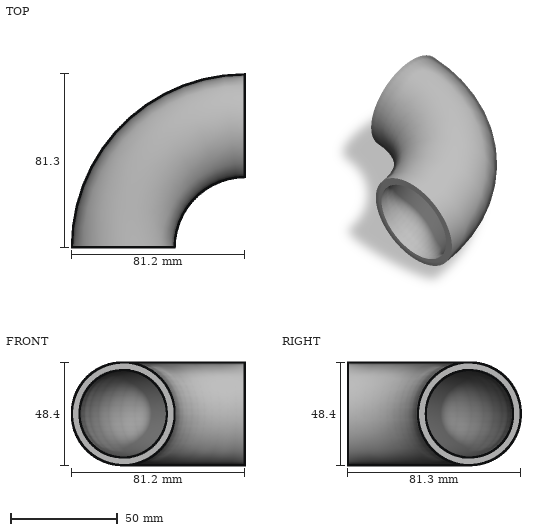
import cadquery as cq

outer_reach = 81.25
pipe_diameter = 48.35
wall = 3.65
bend_angle = 90

pipe_radius = pipe_diameter / 2
bore_radius = pipe_radius - wall
bend_radius = outer_reach - pipe_radius

result = (
    cq.Workplane("XZ")
    .center(-bend_radius, 0)
    .circle(pipe_radius)
    .circle(bore_radius)
    .revolve(bend_angle, (bend_radius, 0.8, 0), (bend_radius, 0, 0))
)